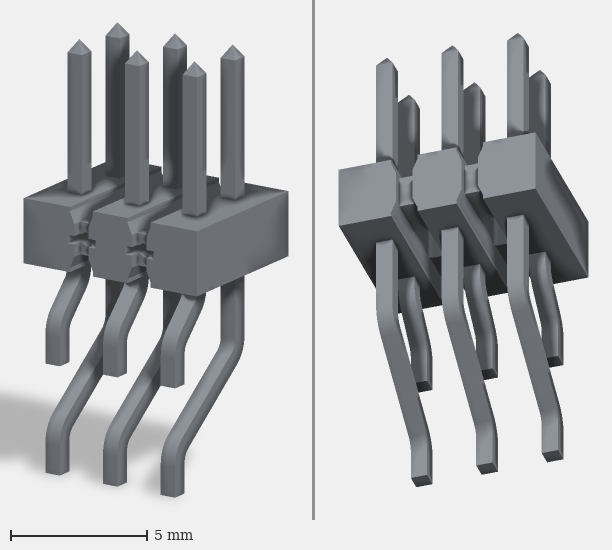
import cadquery as cq
import math

columns = 3
pitch = 2.54
pin_side = 0.63
tip_height = 0.49
total_height = 16.26

housing_length = 7.63
housing_depth = 6.1
housing_bottom = 7.89
housing_height = 2.5
housing_top = housing_bottom + housing_height
housing_middle = housing_bottom + housing_height / 2

notch_mouth = 1.02
notch_lip = 0.16
neck_length = 0.63
neck_height = 1.25
neck_setback = 0.37
window_length = 0.72
window_depth = 1.75
window_radius = 0.16

slot_length = 1.25
slot_height = 0.33
slot_depth = 0.75
bulge_diameter = 0.52

tail_y = (pin_side - housing_depth) / 2
inner_bend = 0.62
short_tail_end = 4.2
short_upper_bend = 7.2
short_lower_bend = 5.74
long_upper_bend = 4.6
long_lower_bend = 1.66
long_tail_end = 0.0

column_xs = [(i - (columns - 1) / 2) * pitch for i in range(columns)]
neck_xs = [(a + b) / 2 for a, b in zip(column_xs, column_xs[1:])]


def centered_box(x, y, z, size_x, size_y, size_z):
    return cq.Workplane("XY").box(size_x, size_y, size_z).translate((x, y, z))


def notch(x):
    """Tapered channels above and below one neck, running the full depth."""
    half_mouth = notch_mouth / 2
    half_neck = neck_length / 2
    upper = (
        cq.Workplane("XZ")
        .polyline([
            (x - half_mouth, housing_top),
            (x + half_mouth, housing_top),
            (x + half_mouth, housing_top - notch_lip),
            (x + half_neck, housing_middle + neck_height / 2),
            (x - half_neck, housing_middle + neck_height / 2),
            (x - half_mouth, housing_top - notch_lip),
        ])
        .close()
        .extrude(housing_depth / 2, both=True)
    )
    lower = upper.mirror("XY", (0, 0, housing_middle))
    return upper.union(lower)


def neck_setbacks(x):
    """Steps that hold the neck back from the front and rear faces."""
    y = (housing_depth - neck_setback) / 2
    step = centered_box(x, y, housing_middle, neck_length, neck_setback, neck_height)
    return step.union(step.mirror("XZ"))


def window(x):
    """Rounded vertical opening through the middle of one neck."""
    return (
        centered_box(x, 0, housing_middle, window_length, window_depth, housing_height)
        .edges("|Z")
        .fillet(window_radius)
    )


def slot(x):
    """Blind front slot widened by a round hole at its middle."""
    y = (slot_depth - housing_depth) / 2
    bar = centered_box(x, y, housing_middle, slot_length, slot_depth, slot_height)
    bulge = (
        cq.Workplane("XZ", origin=(x, -housing_depth / 2, housing_middle))
        .circle(bulge_diameter / 2)
        .extrude(-slot_depth)
    )
    return bar.union(bulge)


def housing():
    body = centered_box(0, 0, housing_middle, housing_length, housing_depth, housing_height)
    for x in neck_xs:
        for cutter in (notch(x), neck_setbacks(x), window(x), slot(x)):
            body = body.cut(cutter)
    return body


def pin_tip(x, y, shoulder):
    """Four-sided pyramid on top of the wire."""
    half = pin_side / 2
    base = [
        (x - half, y - half, shoulder),
        (x + half, y - half, shoulder),
        (x + half, y + half, shoulder),
        (x - half, y + half, shoulder),
    ]
    apex = (x, y, total_height)
    sides = [[base[i], base[(i + 1) % len(base)], apex] for i in range(len(base))]
    faces = [
        cq.Face.makeFromWires(cq.Wire.makePolygon([cq.Vector(*p) for p in loop], close=True))
        for loop in [base] + sides
    ]
    return cq.Workplane(cq.Solid.makeSolid(cq.Shell.makeShell(faces)))


def pin(x, y, upper_bend, lower_bend, tail_end):
    """Square wire with a pointed top, bent twice; bend heights are on its centre line."""
    half = pin_side / 2
    shoulder = total_height - tip_height
    slope = math.atan2(upper_bend - lower_bend, y - tail_y)
    corner_shift = half * (1 / math.cos(slope) - math.tan(slope))
    shaft = (
        cq.Workplane("YZ", origin=(x - half, 0, 0))
        .polyline([
            (y - half, shoulder),
            (y - half, upper_bend + corner_shift),
            (tail_y - half, lower_bend + corner_shift),
            (tail_y - half, tail_end),
            (tail_y + half, tail_end),
            (tail_y + half, lower_bend - corner_shift),
            (y + half, upper_bend - corner_shift),
            (y + half, shoulder),
        ])
        .close()
        .extrude(pin_side)
    )
    inner_corners = [
        (y - half, upper_bend + corner_shift),
        (tail_y + half, lower_bend - corner_shift),
    ]
    outer_corners = [
        (y + half, upper_bend - corner_shift),
        (tail_y - half, lower_bend + corner_shift),
    ]
    for corners, radius in ((inner_corners, inner_bend), (outer_corners, inner_bend + pin_side)):
        for corner_y, corner_z in corners:
            point = (x, corner_y, corner_z)
            shaft = shaft.edges(cq.selectors.NearestToPointSelector(point)).fillet(radius)
    return shaft.union(pin_tip(x, y, shoulder))


result = housing()
for column_x in column_xs:
    result = result.union(pin(column_x, -pitch / 2, short_upper_bend, short_lower_bend, short_tail_end))
    result = result.union(pin(column_x, pitch / 2, long_upper_bend, long_lower_bend, long_tail_end))